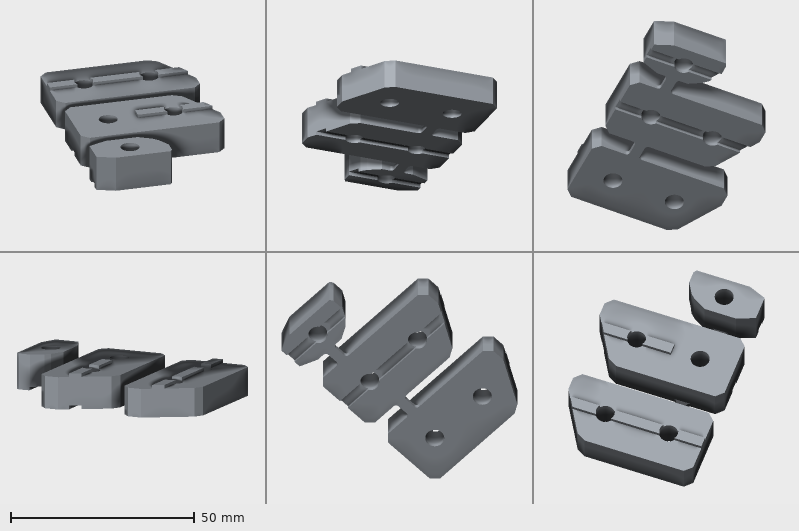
import cadquery as cq
import math

total_length = 61.0
plate_width = 20.0
plate_depth = 40.7
gap = 5.0
base_height = 8.0
end_height = 10.0
rail_height = (end_height - base_height) / 2
rail_width = 3.0
hole_diameter = 5.2
corner_chamfer = 2.0
overcut = 0.6

slope_angle = math.radians(30)
slope_start_x = 1.45
slope_end_x = 14.15
slope_start_y = plate_depth - (slope_end_x - slope_start_x) * math.tan(slope_angle)
left_edge_top = slope_start_y - slope_start_x / math.tan(slope_angle)

second_x = plate_width + gap
end_x = second_x + plate_width + gap
end_width = total_length - end_x
first_axis = plate_width / 2
second_axis = second_x + plate_width / 2
end_axis = end_x + end_width / 2

second_height = base_height + rail_height

lower_hole_y = 10.0
upper_hole_y = 28.4
end_hole_y = 10.5
short_rail_start = 18.0

end_depth = 21.1
end_taper_width = 2.0
end_taper_depth = 5.0
end_corner_width = 0.9
end_corner_depth = 0.55
end_facet_width = 6.7
end_facet_upper = (3.35, 19.15)
end_facet_lower = (2.0, 17.75)
end_facet_bottom = 14.15

bridge_width = 3.0
bridge_height = 1.35
bridge_fillet = 1.0
first_bridge_y = 11.6
second_bridge_y = 9.6


def large_plate(left, height):
    """Plate with chamfered corners and a long slope at its back left corner."""
    outline = [
        (corner_chamfer, 0),
        (plate_width - corner_chamfer, 0),
        (plate_width, corner_chamfer),
        (plate_width, plate_depth - corner_chamfer),
        (plate_width - corner_chamfer, plate_depth),
        (slope_end_x, plate_depth),
        (slope_start_x, slope_start_y),
        (0, left_edge_top),
        (0, corner_chamfer),
    ]
    return cq.Workplane("XY").polyline(outline).close().extrude(height).translate((left, 0, 0))


def end_plate():
    """Small plate with a tapered front and a faceted back left corner."""
    outline = [
        (end_taper_width, 0),
        (end_width - end_taper_width, 0),
        (end_width, end_taper_depth),
        (end_width, end_depth - end_corner_depth),
        (end_width - end_corner_width, end_depth),
        (end_facet_width, end_depth),
        end_facet_upper,
        end_facet_lower,
        (0, end_facet_bottom),
        (0, end_taper_depth),
    ]
    return cq.Workplane("XY").polyline(outline).close().extrude(end_height).translate((end_x, 0, 0))


def strip(axis, start, end, bottom, height):
    """Straight bar of rail width running along Y."""
    return (
        cq.Workplane("XY", origin=(axis, start, bottom))
        .box(rail_width, end - start, height, centered=(True, False, False))
    )


def railed_plate(left, height, rail_start):
    """Large plate with a rail on top that follows the plate outline."""
    axis = left + plate_width / 2
    rail = strip(axis, rail_start, plate_depth, height, rail_height)
    rail = rail.intersect(large_plate(left, height + rail_height))
    return large_plate(left, height).union(rail)


def bridge(left, center_y):
    """Thin link across a gap, flaring with a fillet at each end."""
    r = bridge_fillet
    half = bridge_width / 2
    return (
        cq.Workplane("XY", origin=(left, center_y, 0))
        .moveTo(0, -half - r)
        .radiusArc((r, -half), r)
        .lineTo(gap - r, -half)
        .radiusArc((gap, -half - r), r)
        .lineTo(gap, half + r)
        .radiusArc((gap - r, half), r)
        .lineTo(r, half)
        .radiusArc((0, half + r), r)
        .close()
        .extrude(bridge_height)
    )


result = (
    railed_plate(0, base_height, 0)
    .union(railed_plate(second_x, second_height, short_rail_start))
    .union(end_plate())
    .union(bridge(plate_width, first_bridge_y))
    .union(bridge(second_x + plate_width, second_bridge_y))
)

for channel_axis in (second_axis, end_axis):
    result = result.cut(
        strip(channel_axis, -overcut, plate_depth + overcut, -overcut, rail_height + overcut)
    )

hole_centers = [
    (first_axis, lower_hole_y),
    (first_axis, upper_hole_y),
    (second_axis, lower_hole_y),
    (second_axis, upper_hole_y),
    (end_axis, end_hole_y),
]
holes = (
    cq.Workplane("XY", origin=(0, 0, -overcut))
    .pushPoints(hole_centers)
    .circle(hole_diameter / 2)
    .extrude(end_height + 2 * overcut)
)
result = result.cut(holes)